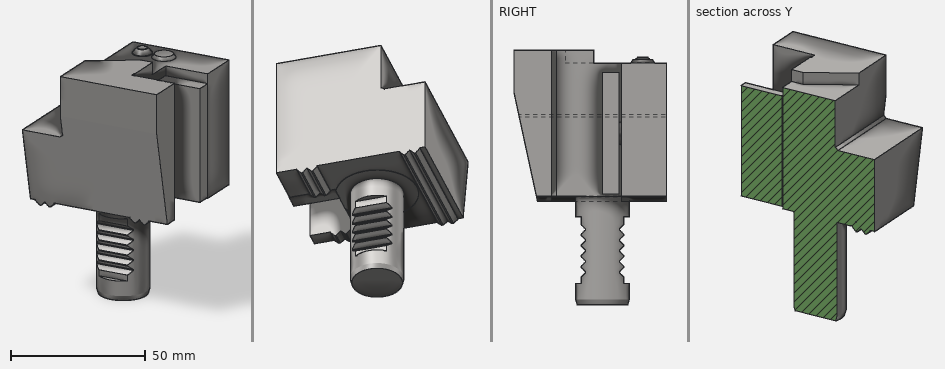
import cadquery as cq
import math


body_left = -26.0
body_right = 32.0
body_back = 23.9
body_front = -33.1
foot_front = -24.7
body_top = 54.4
slope_top = 38.7
rear_top = 49.6

step_x = -8.8
step_height = 29.5
step_chamfer_run = 1.2
step_chamfer_rise = 0.95

deck_edge_y = -3.2
deck_corner_x = 9.3
deck_angle = 30

slot_x = 14.25
slot_back = 7.0
slot_front = -19.0
relief_depth = 0.4
relief_width = 1.9

plate_left = 14.5
plate_right = 32.5
plate_back = 6.2
plate_front = 0.0
plate_bottom = 0.8
plate_top = 46.1
screw_base_diameter = 8.7
screw_tip_diameter = 7.8
screw_embed = 0.5

head_y = 15.0
small_head_x = 0.0
small_head_diameter = 7.6
small_head_rim_height = 0.3
small_head_dome_radius = 4.4
small_head_dome_top = 2.0
small_head_pin_diameter = 3.8
small_head_height = 2.3
large_head_x = 9.1
large_head_diameter = 9.1
large_head_top_diameter = 7.2
large_head_height = 1.4

tooth_pitch = 4.0
tooth_depth = 2.0
tooth_tip_width = 0.6
tooth_pair_x = 20.0

collar_diameter = 31.0
collar_height = 0.2

shank_diameter = 20.0
shank_length = 40.6
shank_chamfer_radial = 0.6
shank_chamfer_length = 1.9
flat_y = 8.0
flat_top = -7.8
flat_bottom = -32.6
groove_count = 5
groove_pitch = 4.0
groove_depth = 1.6
groove_floor_width = 0.4
groove_first_z = -12.4


def box(x_min, x_max, y_min, y_max, z_min, z_max):
    size = (x_max - x_min, y_max - y_min, z_max - z_min)
    return cq.Workplane("XY").box(*size, centered=False).translate((x_min, y_min, z_min))


def front_profile():
    """Stepped outline in XZ with the serrations along its lower edge, extruded over the full depth."""
    outline = [
        (body_left, step_height),
        (step_x - step_chamfer_run, step_height),
        (step_x, step_height + step_chamfer_rise),
        (step_x, body_top),
        (body_right, body_top),
        (body_right, 0),
    ]
    root_z = -tooth_depth + (tooth_pitch - tooth_tip_width) / 2
    for pair_x in (tooth_pair_x, -tooth_pair_x):
        outline.append((pair_x + tooth_pitch, 0))
        for tip_x in (pair_x + tooth_pitch / 2, pair_x - tooth_pitch / 2):
            outline += [
                (tip_x + tooth_pitch / 2, root_z),
                (tip_x + tooth_tip_width / 2, -tooth_depth),
                (tip_x - tooth_tip_width / 2, -tooth_depth),
            ]
        outline += [
            (pair_x - tooth_pitch, root_z),
            (pair_x - tooth_pitch, 0),
        ]
    outline.append((body_left, 0))
    depth = body_back - body_front
    return cq.Workplane("XZ", origin=(0, body_back, 0)).polyline(outline).close().extrude(depth)


def side_profile():
    """Outline in YZ with the sloped front face, continued down past the serrations."""
    slope = (foot_front - body_front) / slope_top
    tip_front = foot_front + slope * tooth_depth
    outline = [
        (body_back, -tooth_depth),
        (tip_front, -tooth_depth),
        (body_front, slope_top),
        (body_front, body_top),
        (body_back, body_top),
    ]
    width = body_right - body_left
    return cq.Workplane("YZ", origin=(body_left, 0, 0)).polyline(outline).close().extrude(width)


def rear_deck_cut():
    deck_left_y = deck_edge_y - (deck_corner_x - step_x) * math.tan(math.radians(deck_angle))
    outline = [
        (step_x, deck_left_y),
        (deck_corner_x, deck_edge_y),
        (body_right, deck_edge_y),
        (body_right, body_back),
        (step_x, body_back),
    ]
    height = body_top - rear_top
    return cq.Workplane("XY", origin=(0, 0, rear_top)).polyline(outline).close().extrude(height)


def slot_cut():
    slot = box(slot_x, body_right, slot_front, slot_back, -tooth_depth, body_top)
    relief = box(slot_x - relief_depth, slot_x, slot_front, slot_front + relief_width, -tooth_depth, body_top)
    return slot.union(relief)


def clamp():
    plate = box(plate_left, plate_right, plate_front, plate_back, plate_bottom, plate_top)
    screw_center = ((plate_left + plate_right) / 2, slot_back, (plate_bottom + plate_top) / 2)
    face = cq.Workplane("XZ", origin=screw_center)
    screw_tip = (
        face.circle(screw_base_diameter / 2)
        .workplane(offset=slot_back - plate_back)
        .circle(screw_tip_diameter / 2)
        .loft()
    )
    screw_body = face.circle(screw_base_diameter / 2).extrude(-screw_embed)
    return plate.union(screw_tip).union(screw_body)


def small_head():
    """Domed screw head with a short rim below and a flat pin end on top."""
    rim_radius = small_head_diameter / 2
    pin_radius = small_head_pin_diameter / 2
    return (
        cq.Workplane("XZ", origin=(small_head_x, head_y, rear_top))
        .lineTo(rim_radius, 0)
        .lineTo(rim_radius, small_head_rim_height)
        .radiusArc((pin_radius, small_head_dome_top), -small_head_dome_radius)
        .lineTo(pin_radius, small_head_height)
        .lineTo(0, small_head_height)
        .close()
        .revolve(360, (0, 0), (0, 1))
    )


def large_head():
    """Flat-topped conical screw head."""
    return (
        cq.Workplane("XY", origin=(large_head_x, head_y, rear_top))
        .circle(large_head_diameter / 2)
        .workplane(offset=large_head_height)
        .circle(large_head_top_diameter / 2)
        .loft()
    )


def shank_side_cut():
    """Flat with 45-degree V grooves on the back (+Y) side of the shank."""
    radius = shank_diameter / 2
    cut = box(-radius, radius, flat_y, radius, flat_bottom, flat_top)
    floor_half = groove_floor_width / 2
    mouth_half = floor_half + groove_depth
    for i in range(groove_count):
        z = groove_first_z - i * groove_pitch
        groove = (
            cq.Workplane("YZ", origin=(-radius, 0, 0))
            .polyline([
                (flat_y - groove_depth, z - floor_half),
                (flat_y - groove_depth, z + floor_half),
                (flat_y, z + mouth_half),
                (radius, z + mouth_half),
                (radius, z - mouth_half),
                (flat_y, z - mouth_half),
            ])
            .close()
            .extrude(2 * radius)
        )
        cut = cut.union(groove)
    return cut


def shank():
    blank = (
        cq.Workplane("XY")
        .circle(shank_diameter / 2)
        .extrude(-shank_length)
        .faces("<Z")
        .chamfer(shank_chamfer_length, shank_chamfer_radial)
    )
    back_cut = shank_side_cut()
    front_cut = back_cut.mirror("XZ")
    return blank.cut(back_cut).cut(front_cut)


body = front_profile().intersect(side_profile()).cut(rear_deck_cut())
collar = cq.Workplane("XY").circle(collar_diameter / 2).extrude(-collar_height)
body = body.union(collar).cut(slot_cut())

result = (
    body.union(shank())
    .union(clamp())
    .union(small_head())
    .union(large_head())
)